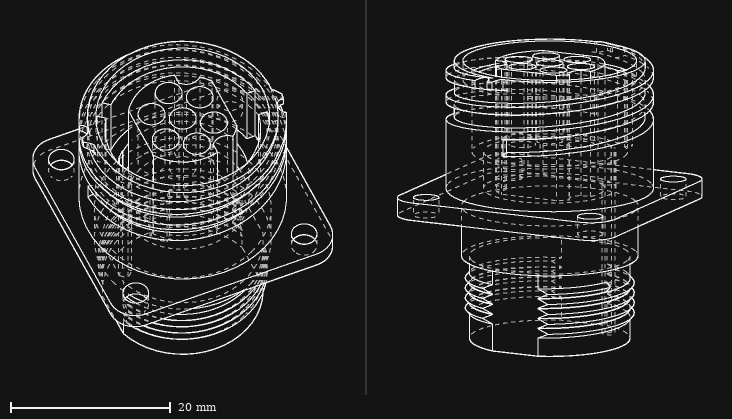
import cadquery as cq
import math

TOTAL_HEIGHT = 35.69
REAR_BARREL_TOP = 10.6
FLANGE_BOTTOM = 17.02
FLANGE_THICKNESS = 2.27
FLANGE_TOP = FLANGE_BOTTOM + FLANGE_THICKNESS

FLANGE_SIZE = 30.1
FLANGE_CORNER_RADIUS = 3.35
MOUNT_HOLE_SPACING = 23.04
MOUNT_HOLE_DIAMETER = 3.2

FRONT_RADIUS = 13.0
COLLAR_RADIUS = 11.07
REAR_RADIUS = 10.07
REAR_FLAT_SPAN = 19.1

GROOVE_STARTS = 2
GROOVE_PITCH = 3.16
GROOVE_LEAD = GROOVE_STARTS * GROOVE_PITCH
GROOVE_ROOT_RADIUS = 11.96
SLEEVE_BORE_RADIUS = 11.5
GROOVE_MOUTH_WIDTH = 2.2
GROOVE_ROOT_WIDTH = 1.62
GROOVE_START_Z = 27.19
GROOVE_START_ANGLE = -90.0
GROOVE_TURNS = 1.5

RIDGE_END_ANGLE = -92.4
RIDGE_END_BEVEL = 45.0
LEAD_IN_ARC = 88.0
LEAD_IN_DEPTH = 1.36
DETENT_ANGLE = -104.7
DETENT_RADIUS = 1.0
DETENT_DEPTH = 2.0

REAR_THREAD_PITCH = 1.28
REAR_THREAD_BASE = 1.27
REAR_THREAD_CREST_RADIUS = 10.59
REAR_THREAD_START_ANGLE = 90.0
REAR_THREAD_END_ANGLE = 162.3
REAR_THREAD_FULL_TURNS = 4
REAR_THREAD_START_Z = 2.88
THREAD_BITE = 0.02

MOUTH_RADIUS = 10.88
KEY_RING_RADIUS = 9.75
SOCKET_RADIUS = 8.3
KEY_RING_TOP = TOTAL_HEIGHT - 2.4
SOCKET_STEP = 24.0
SOCKET_FLOOR = FLANGE_TOP
KEYWAYS = ((90.0, 3.65), (-40.0, 2.2), (-130.0, 2.2))

INSERT_RADIUS = 6.9
INSERT_FLAT_SPAN = 11.44
INSERT_TOP = TOTAL_HEIGHT - 0.3
CONTACT_DIAMETER = 3.36
CONTACT_SPACING = 4.37
CONTACT_ROW_SPACING = 3.3
CONTACT_DEPTH = 10.0
SIDE_NOTCH_RADIUS = 1.83
SIDE_NOTCH_X = 6.42
SIDE_NOTCH_FLOOR_Y = 1.83

DRAIN_ANGLE = -135.0
DRAIN_WIDTH = 1.27
DRAIN_CENTRE_RADIUS = 7.73

OVERLAP = 0.3


def cylinder(radius, bottom, top):
    return cq.Workplane("XY").workplane(offset=bottom).circle(radius).extrude(top - bottom)


def turn(body, angle):
    return body.rotate((0, 0, 0), (0, 0, 1), angle)


def helical_body(profile, pitch, turns, radius, start_z, start_angle):
    """Sweep a closed (radius, height) profile, heights measured from the helix start."""
    path = cq.Wire.makeHelix(pitch, pitch * turns, radius)
    body = cq.Workplane("XZ").polyline(profile).close().sweep(cq.Workplane(path), isFrenet=True)
    return turn(body.translate((0, 0, start_z)), start_angle)


def make_flange():
    flange = (
        cq.Workplane("XY")
        .workplane(offset=FLANGE_BOTTOM)
        .rect(FLANGE_SIZE, FLANGE_SIZE)
        .extrude(FLANGE_THICKNESS)
        .edges("|Z")
        .fillet(FLANGE_CORNER_RADIUS)
    )
    return (
        flange.faces(">Z")
        .workplane()
        .rect(MOUNT_HOLE_SPACING, MOUNT_HOLE_SPACING, forConstruction=True)
        .vertices()
        .hole(MOUNT_HOLE_DIAMETER)
    )


def make_coupling_groove():
    flank_slope = (GROOVE_MOUTH_WIDTH - GROOVE_ROOT_WIDTH) / 2 / (FRONT_RADIUS - GROOVE_ROOT_RADIUS)
    outer_half = GROOVE_MOUTH_WIDTH / 2 + flank_slope * OVERLAP
    inner_radius = SLEEVE_BORE_RADIUS - OVERLAP
    inner_half = GROOVE_ROOT_WIDTH / 2 - flank_slope * (GROOVE_ROOT_RADIUS - inner_radius)
    profile = [
        (inner_radius, -inner_half),
        (FRONT_RADIUS + OVERLAP, -outer_half),
        (FRONT_RADIUS + OVERLAP, outer_half),
        (inner_radius, inner_half),
    ]
    return helical_body(
        profile, GROOVE_LEAD, GROOVE_TURNS, GROOVE_ROOT_RADIUS, GROOVE_START_Z, GROOVE_START_ANGLE
    )


def make_lead_in():
    """Clearance that ends a coupling ridge in a bevelled face just below the rim."""
    bottom = TOTAL_HEIGHT - LEAD_IN_DEPTH
    reach = 2 * FRONT_RADIUS
    bevel_offset = reach * math.tan(math.radians(RIDGE_END_BEVEL))
    far_angle = math.radians(LEAD_IN_ARC)
    sector = (
        cq.Workplane("XY")
        .workplane(offset=bottom)
        .moveTo(0, 0)
        .lineTo(GROOVE_ROOT_RADIUS, 0)
        .lineTo(GROOVE_ROOT_RADIUS + reach, -bevel_offset)
        .lineTo(GROOVE_ROOT_RADIUS + reach, reach)
        .lineTo(reach * math.cos(far_angle), reach * math.sin(far_angle))
        .close()
        .extrude(LEAD_IN_DEPTH + OVERLAP)
    )
    return turn(sector, RIDGE_END_ANGLE)


def make_detent():
    detent = cylinder(DETENT_RADIUS, TOTAL_HEIGHT - DETENT_DEPTH, TOTAL_HEIGHT + OVERLAP)
    return turn(detent.translate((FRONT_RADIUS, 0, 0)), DETENT_ANGLE)


def make_front_barrel():
    """A grooved sleeve around a plain core; the core surface is the groove root."""
    sleeve = cylinder(FRONT_RADIUS, FLANGE_BOTTOM, TOTAL_HEIGHT)
    sleeve = sleeve.cut(cylinder(SLEEVE_BORE_RADIUS, FLANGE_BOTTOM, TOTAL_HEIGHT))
    for start in range(GROOVE_STARTS):
        angle = start * 360.0 / GROOVE_STARTS
        for cutter in (make_coupling_groove(), make_lead_in(), make_detent()):
            sleeve = sleeve.cut(turn(cutter, angle))
    return sleeve.union(cylinder(GROOVE_ROOT_RADIUS, FLANGE_BOTTOM, TOTAL_HEIGHT))


def make_rear_barrel():
    turns = REAR_THREAD_FULL_TURNS + (REAR_THREAD_END_ANGLE - REAR_THREAD_START_ANGLE) / 360.0
    half_base = REAR_THREAD_BASE / 2
    profile = [
        (REAR_RADIUS - THREAD_BITE, -half_base),
        (REAR_THREAD_CREST_RADIUS, 0),
        (REAR_RADIUS - THREAD_BITE, half_base),
    ]
    thread = helical_body(
        profile, REAR_THREAD_PITCH, turns, REAR_RADIUS, REAR_THREAD_START_Z, REAR_THREAD_START_ANGLE
    )
    barrel = cylinder(REAR_RADIUS, 0, REAR_BARREL_TOP + OVERLAP).union(thread, clean=False)
    slab = cq.Workplane("XY").box(
        FLANGE_SIZE, REAR_FLAT_SPAN, TOTAL_HEIGHT, centered=(True, True, False)
    )
    return barrel.intersect(slab)


def make_cavity():
    """Stepped bore whose key ring is broken by the keyways."""
    cavity = cylinder(MOUTH_RADIUS, KEY_RING_TOP, TOTAL_HEIGHT)
    cavity = cavity.union(cylinder(KEY_RING_RADIUS, SOCKET_STEP, TOTAL_HEIGHT))
    cavity = cavity.union(cylinder(SOCKET_RADIUS, SOCKET_FLOOR, TOTAL_HEIGHT))
    mouth = cylinder(MOUTH_RADIUS, SOCKET_STEP, TOTAL_HEIGHT)
    for angle, width in KEYWAYS:
        keyway = (
            cq.Workplane("XY")
            .workplane(offset=SOCKET_STEP)
            .center(MOUTH_RADIUS / 2, 0)
            .rect(MOUTH_RADIUS + 2 * OVERLAP, width)
            .extrude(TOTAL_HEIGHT - SOCKET_STEP)
        )
        cavity = cavity.union(turn(keyway, angle).intersect(mouth))
    return cavity


def contact_positions():
    middle_row = [(i * CONTACT_SPACING, 0) for i in (-1, 0, 1)]
    outer_rows = [
        (x * CONTACT_SPACING / 2, y * CONTACT_ROW_SPACING) for x in (-1, 1) for y in (-1, 1)
    ]
    return middle_row + outer_rows


def make_insert():
    bottom = SOCKET_FLOOR - OVERLAP
    height = INSERT_TOP - bottom
    insert = cylinder(INSERT_RADIUS, bottom, INSERT_TOP)
    insert = insert.intersect(
        cq.Workplane("XY").workplane(offset=bottom).rect(FLANGE_SIZE, INSERT_FLAT_SPAN).extrude(height)
    )
    above_notch_floor = (
        cq.Workplane("XY")
        .box(FLANGE_SIZE, FLANGE_SIZE, TOTAL_HEIGHT, centered=(True, False, False))
        .translate((0, SIDE_NOTCH_FLOOR_Y, 0))
    )
    for side in (-1, 1):
        notch = cylinder(SIDE_NOTCH_RADIUS, SOCKET_FLOOR, TOTAL_HEIGHT)
        notch = notch.translate((side * SIDE_NOTCH_X, CONTACT_ROW_SPACING, 0))
        insert = insert.cut(notch.intersect(above_notch_floor))
    contacts = (
        cq.Workplane("XY")
        .workplane(offset=INSERT_TOP - CONTACT_DEPTH)
        .pushPoints(contact_positions())
        .circle(CONTACT_DIAMETER / 2)
        .extrude(CONTACT_DEPTH)
    )
    return insert.cut(contacts)


def make_drain_slot():
    slot = cq.Workplane("XY").rect(DRAIN_WIDTH, DRAIN_WIDTH).extrude(TOTAL_HEIGHT)
    return turn(slot.translate((DRAIN_CENTRE_RADIUS, 0, 0)), DRAIN_ANGLE)


shell = make_front_barrel().union(make_flange())
shell = shell.union(cylinder(COLLAR_RADIUS, REAR_BARREL_TOP, FLANGE_BOTTOM))
shell = shell.union(make_rear_barrel())
result = shell.cut(make_cavity()).union(make_insert()).cut(make_drain_slot())